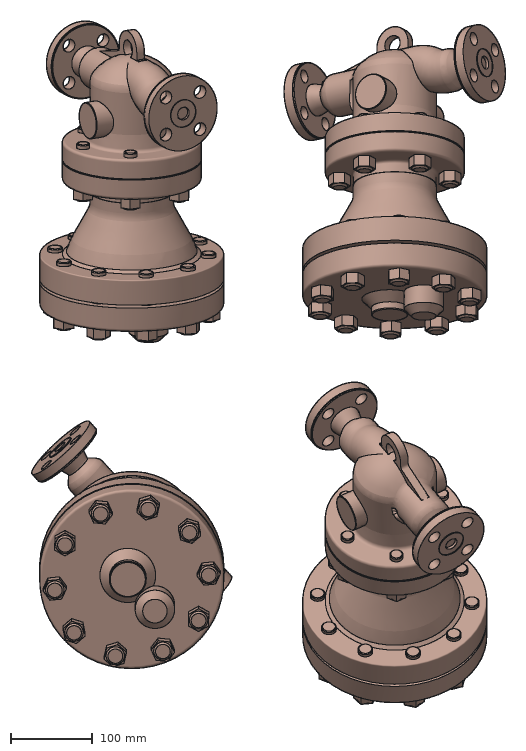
import cadquery as cq
import math

COVER_BOTTOM = 31.7
COVER_TOP = 62.3
BELL_FLANGE_BOTTOM = 66.0
BELL_FLANGE_TOP = 97.5
BELL_BASE = 101.0
BELL_CONE_LOW = 117.5
BELL_CONE_HIGH = 154.5
COLLAR_BOTTOM = 164.0
COLLAR_TOP = 177.2
NECK_FLANGE_BOTTOM = 191.8
NECK_JOINT = 217.7
NECK_FLANGE_TOP = 242.5
BODY_BASE = 247.0
BODY_TAPER_TOP = 264.0
PLUG_Z = 278.5
PIPE_Z = 311.5
DOME_TOP = 350.5
LUG_EYE_Z = 359.5

COVER_D = 225.0
COVER_BOTTOM_FILLET = 3.5
BELL_TOP_FILLET = 1.5
RAISED_FACE_D = 170.0
BELL_BASE_R = 80.0
BELL_LOW_R = 73.0
BELL_HIGH_R = 53.0
BELL_ROOT_R = 84.8

NECK_FLANGE_D = 170.0
NECK_FLANGE_FILLET = 3.5
JOINT_GROOVE = 1.0
COLLAR_D = 102.0
NECK_D = 101.0
NECK_ROOT_FILLET = 3.5

BODY_D = 102.0
BODY_BASE_D = 107.7
BODY_ROOT_D = 118.0
BODY_OVERLAP = 11.5
DOME_SPHERE_R = 59.5
DOME_EDGE_FILLET = 15.3
PLUG_D = 45.0
PLUG_X = 7.3
PLUG_END_Y = 65.5
PLUG_EDGE = 0.8

PIPE_D = 53.0
PIPE_ROOT_FILLET = 7.5
PIPE_END_X = 87.5
PIPE_END_FILLET = 10.7
THROAT_R = 15.5
THROAT_LAND = 1.0
FLANGE_BACK_X = 116.0
FLANGE_RIM_X = 118.0
FLANGE_FACE_X = 130.3
RAISED_END_X = 131.5
HUB_R = 20.0
HUB_LAND = 2.3
LINE_FLANGE_D = 95.0
LINE_FLANGE_STEP = 1.0
LINE_RAISED_D = 34.8
BORE_D = 16.0
BORE_DEPTH = 4.0
LINE_HOLE_D = 16.0
LINE_HOLE_OFFSET = 23.5

BEND_START_X = 33.5
BEND_END_X = 76.8

LUG_D = 45.0
LUG_HOLE_D = 22.0
LUG_THICKNESS = 10.7
LUG_SHOULDER_Z = 351.0
LUG_TAIL_X = -71.0
LUG_TAIL_Z = 337.5
LUG_FOOT_X = 27.0
LUG_BURIED_Z = 321.0
LUG_FILLET = 4.5

DRAIN_D = 48.0
DRAIN_X = 42.5
DRAIN_CHAMFER = 9.0
CENTRE_BOSS_D = 45.0
CENTRE_BOSS_X = -7.3
CENTRE_BOSS_BOTTOM = 11.0
CENTRE_BOSS_FLARE = 11.5
CENTRE_BOSS_EDGE = 1.0

COVER_STUD_COUNT = 10
COVER_STUD_CIRCLE_R = 94.5
COVER_STUD_D = 18.0
COVER_STUD_TOP = 102.5
COVER_NUT_FLATS = 25.0
COVER_NUT_BOTTOM = 18.5
NECK_STUD_COUNT = 6
NECK_STUD_CIRCLE_R = 67.5
NECK_STUD_D = 16.0
NECK_STUD_TOP = 248.3
NECK_NUT_FLATS = 23.3
NECK_NUT_BOTTOM = 178.5
NUT_END_HEIGHT = 2.3
STUD_CHAMFER = 1.0

PICK = 0.5
FAR = 191.0


def cylinder_x(x_start, x_end, radius, y=0.0, z=PIPE_Z):
    """Cylinder along X between two X positions."""
    return cq.Workplane("YZ", origin=(x_start, y, z)).circle(radius).extrude(x_end - x_start)


def disc(z_low, z_high, diameter):
    """Vertical cylinder on the main axis."""
    return cq.Workplane("XY", origin=(0, 0, z_low)).circle(diameter / 2).extrude(z_high - z_low)


def cover_and_bell():
    """Bottom cover, large flange and the conical bell rising to the collar."""
    cover = disc(COVER_BOTTOM, COVER_TOP, COVER_D).faces("<Z").edges().fillet(COVER_BOTTOM_FILLET)
    flange = disc(BELL_FLANGE_BOTTOM, BELL_FLANGE_TOP, COVER_D)
    flange = flange.faces(">Z").edges().fillet(BELL_TOP_FILLET)
    raised_face = disc(COVER_TOP, BELL_FLANGE_BOTTOM, RAISED_FACE_D)

    collar_r = COLLAR_D / 2
    neck_r = NECK_D / 2
    bell = (
        cq.Workplane("XZ")
        .moveTo(0, NECK_FLANGE_BOTTOM)
        .lineTo(neck_r + NECK_ROOT_FILLET, NECK_FLANGE_BOTTOM)
        .radiusArc((neck_r, NECK_FLANGE_BOTTOM - NECK_ROOT_FILLET), -NECK_ROOT_FILLET)
        .lineTo(neck_r, COLLAR_TOP)
        .lineTo(collar_r, COLLAR_TOP)
        .lineTo(collar_r, COLLAR_BOTTOM)
        .tangentArcPoint((BELL_HIGH_R, BELL_CONE_HIGH), relative=False)
        .lineTo(BELL_LOW_R, BELL_CONE_LOW)
        .tangentArcPoint((BELL_BASE_R, BELL_BASE), relative=False)
        .lineTo(BELL_ROOT_R, BELL_FLANGE_TOP)
        .lineTo(0, BELL_FLANGE_TOP)
        .close()
        .revolve(360, (0, 0, 0), (0, 1, 0))
    )
    return cover.union(flange).union(raised_face).union(bell)


def neck_flanges():
    """Small flange pair with a fine groove at the joint."""
    groove_low = NECK_JOINT - JOINT_GROOVE / 2
    groove_high = NECK_JOINT + JOINT_GROOVE / 2
    lower = disc(NECK_FLANGE_BOTTOM, groove_low, NECK_FLANGE_D)
    lower = lower.faces("<Z").edges().fillet(NECK_FLANGE_FILLET)
    upper = disc(groove_high, NECK_FLANGE_TOP, NECK_FLANGE_D)
    upper = upper.faces(">Z").edges().fillet(NECK_FLANGE_FILLET)
    core = disc(groove_low, groove_high, NECK_FLANGE_D - 2 * JOINT_GROOVE)
    return lower.union(core).union(upper)


def domed_body():
    """Cylindrical body with a tapered base and a spherical dome."""
    body_r = BODY_D / 2
    base_r = BODY_BASE_D / 2
    rim_z = DOME_TOP - DOME_SPHERE_R + math.sqrt(DOME_SPHERE_R**2 - body_r**2)
    body = (
        cq.Workplane("XZ")
        .moveTo(0, NECK_FLANGE_TOP - BODY_OVERLAP)
        .lineTo(BODY_ROOT_D / 2, NECK_FLANGE_TOP - BODY_OVERLAP)
        .lineTo(BODY_ROOT_D / 2, NECK_FLANGE_TOP)
        .radiusArc((base_r, BODY_BASE), BODY_ROOT_D / 2 - base_r)
        .lineTo(body_r, BODY_TAPER_TOP)
        .lineTo(body_r, rim_z)
        .radiusArc((0, DOME_TOP), -DOME_SPHERE_R)
        .close()
        .revolve(360, (0, 0, 0), (0, 1, 0))
    )
    rim = cq.selectors.BoxSelector((-FAR, -FAR, rim_z - PICK), (FAR, FAR, rim_z + PICK))
    return body.edges(rim).fillet(DOME_EDGE_FILLET)


def offset_bend():
    """Pipe leaving the dome near its top and dropping to the pipe axis in two equal arcs."""
    start_z = DOME_TOP - PIPE_D / 2
    drop = start_z - PIPE_Z
    run = BEND_END_X - BEND_START_X
    radius = (run**2 + drop**2) / (4 * drop)
    middle = (BEND_START_X + run / 2, start_z - drop / 2)
    path = (
        cq.Workplane("XZ")
        .moveTo(0, start_z)
        .lineTo(BEND_START_X, start_z)
        .radiusArc(middle, radius)
        .radiusArc((BEND_END_X, PIPE_Z), -radius)
        .lineTo(PIPE_END_X - PIPE_END_FILLET / 2, PIPE_Z)
    )
    return cq.Workplane("YZ", origin=(0, 0, start_z)).circle(PIPE_D / 2).sweep(path)


def line_end():
    """Reducer, hub and drilled flange that close the -X pipe, with a shallow blind bore."""
    pipe_r = PIPE_D / 2
    throat_x = PIPE_END_X + pipe_r - THROAT_R
    rim_r = LINE_FLANGE_D / 2
    pipe_start_x = PIPE_END_X - PIPE_END_FILLET / 2
    end = (
        cq.Workplane("XZ", origin=(0, 0, PIPE_Z))
        .moveTo(-pipe_start_x, 0)
        .lineTo(-pipe_start_x, pipe_r)
        .lineTo(-PIPE_END_X, pipe_r)
        .lineTo(-throat_x, THROAT_R)
        .lineTo(-throat_x - THROAT_LAND, THROAT_R)
        .lineTo(-FLANGE_BACK_X + HUB_LAND, HUB_R)
        .lineTo(-FLANGE_BACK_X, HUB_R)
        .lineTo(-FLANGE_BACK_X, rim_r - LINE_FLANGE_STEP)
        .lineTo(-FLANGE_RIM_X, rim_r - LINE_FLANGE_STEP)
        .lineTo(-FLANGE_RIM_X, rim_r)
        .lineTo(-FLANGE_FACE_X, rim_r)
        .lineTo(-FLANGE_FACE_X, LINE_RAISED_D / 2)
        .lineTo(-RAISED_END_X, LINE_RAISED_D / 2)
        .lineTo(-RAISED_END_X, 0)
        .close()
        .revolve(360, (0, 0, 0), (1, 0, 0))
    )
    shoulder = cq.selectors.BoxSelector(
        (-PIPE_END_X - PICK, -FAR, PIPE_Z - FAR), (-PIPE_END_X + PICK, FAR, PIPE_Z + FAR)
    )
    end = end.edges(shoulder).fillet(PIPE_END_FILLET)
    for side_y in (-1, 1):
        for side_z in (-1, 1):
            y = side_y * LINE_HOLE_OFFSET
            z = PIPE_Z + side_z * LINE_HOLE_OFFSET
            end = end.cut(cylinder_x(-RAISED_END_X, -FLANGE_BACK_X, LINE_HOLE_D / 2, y, z))
    return end.cut(cylinder_x(-RAISED_END_X, BORE_DEPTH - RAISED_END_X, BORE_D / 2))


def side_plugs():
    """Round plug bosses on the +Y and -Y sides of the body."""
    plugs = (
        cq.Workplane("XZ", origin=(PLUG_X, -PLUG_END_Y, PLUG_Z))
        .circle(PLUG_D / 2)
        .extrude(-2 * PLUG_END_Y)
    )
    return plugs.faces("<Y or >Y").edges().chamfer(PLUG_EDGE)


def lifting_lug():
    """Upright eye with a rib running down onto the -X pipe."""
    lug_r = LUG_D / 2
    outline = (
        cq.Workplane("XZ", origin=(0, LUG_THICKNESS / 2, 0))
        .moveTo(LUG_TAIL_X, LUG_BURIED_Z)
        .lineTo(LUG_TAIL_X, LUG_TAIL_Z)
        .lineTo(-lug_r, LUG_SHOULDER_Z)
        .lineTo(-lug_r, LUG_EYE_Z)
        .threePointArc((0, LUG_EYE_Z + lug_r), (lug_r, LUG_EYE_Z))
        .lineTo(lug_r, LUG_SHOULDER_Z)
        .lineTo(LUG_FOOT_X, LUG_SHOULDER_Z)
        .lineTo(LUG_FOOT_X, LUG_BURIED_Z)
        .close()
        .extrude(LUG_THICKNESS)
    )
    rib_corner = cq.selectors.NearestToPointSelector((-lug_r, 0, LUG_SHOULDER_Z))
    outline = outline.edges("|Y").edges(rib_corner).fillet(LUG_FILLET)
    eye = (
        cq.Workplane("XZ", origin=(0, LUG_THICKNESS, LUG_EYE_Z))
        .circle(LUG_HOLE_D / 2)
        .extrude(2 * LUG_THICKNESS)
    )
    return outline.cut(eye)


def cover_bosses():
    """Centre boss with a flared root, and the chamfered drain boss beside it."""
    boss_r = CENTRE_BOSS_D / 2
    centre = (
        cq.Workplane("XZ", origin=(CENTRE_BOSS_X, 0, 0))
        .moveTo(0, CENTRE_BOSS_BOTTOM)
        .lineTo(boss_r, CENTRE_BOSS_BOTTOM)
        .lineTo(boss_r, COVER_BOTTOM - CENTRE_BOSS_FLARE)
        .lineTo(boss_r + CENTRE_BOSS_FLARE, COVER_BOTTOM)
        .lineTo(0, COVER_BOTTOM)
        .close()
        .revolve(360, (0, 0, 0), (0, 1, 0))
    )
    centre = centre.faces("<Z").edges().chamfer(CENTRE_BOSS_EDGE)
    drain = cq.Workplane("XY", origin=(DRAIN_X, 0, 0)).circle(DRAIN_D / 2).extrude(COVER_BOTTOM)
    drain = drain.faces("<Z").edges().chamfer(DRAIN_CHAMFER)
    return centre.union(drain)


def stud_with_nut(circle_r, stud_d, nut_flats, top_z, seat_z, nut_bottom_z):
    """Stud on the +X axis with a hexagon nut, one corner outward, and a tapered nut end below."""
    end_z = nut_bottom_z - NUT_END_HEIGHT
    stud = cq.Workplane("XY", origin=(circle_r, 0, end_z)).circle(stud_d / 2).extrude(top_z - end_z)
    stud = stud.faces(">Z").edges().chamfer(STUD_CHAMFER)
    nut = (
        cq.Workplane("XY", origin=(circle_r, 0, nut_bottom_z))
        .polygon(6, nut_flats / math.cos(math.pi / 6))
        .extrude(seat_z - nut_bottom_z)
    )
    nut_end = (
        cq.Workplane("XZ", origin=(circle_r, 0, 0))
        .moveTo(0, end_z)
        .lineTo(stud_d / 2, end_z)
        .lineTo(stud_d / 2 + NUT_END_HEIGHT, nut_bottom_z)
        .lineTo(0, nut_bottom_z)
        .close()
        .revolve(360, (0, 0, 0), (0, 1, 0))
    )
    return stud.union(nut).union(nut_end)


def ring_of(fastener, count):
    """Fasteners spaced evenly about the main axis, one of them on +Y."""
    ring = cq.Workplane("XY")
    for i in range(count):
        ring = ring.union(fastener.rotate((0, 0, 0), (0, 0, 1), 90 + 360 / count * i))
    return ring


cover_stud = stud_with_nut(
    COVER_STUD_CIRCLE_R, COVER_STUD_D, COVER_NUT_FLATS, COVER_STUD_TOP, COVER_BOTTOM, COVER_NUT_BOTTOM
)
neck_stud = stud_with_nut(
    NECK_STUD_CIRCLE_R, NECK_STUD_D, NECK_NUT_FLATS, NECK_STUD_TOP, NECK_FLANGE_BOTTOM, NECK_NUT_BOTTOM
)

left_pipe = cylinder_x(-PIPE_END_X + PIPE_END_FILLET / 2, 0, PIPE_D / 2)
left_joint = cq.selectors.BoxSelector(
    (-BODY_D / 2 - PICK, -PIPE_D / 2, PIPE_Z - PIPE_D / 2), (-BODY_D / 3, PIPE_D / 2, DOME_TOP)
)
body = domed_body().union(left_pipe).edges(left_joint).fillet(PIPE_ROOT_FILLET)
body = body.union(offset_bend())

left_end = line_end()
result = (
    cover_and_bell()
    .union(neck_flanges())
    .union(body)
    .union(left_end)
    .union(left_end.mirror("YZ"))
    .union(side_plugs())
    .union(lifting_lug())
    .union(cover_bosses())
    .union(ring_of(cover_stud, COVER_STUD_COUNT))
    .union(ring_of(neck_stud, NECK_STUD_COUNT))
)